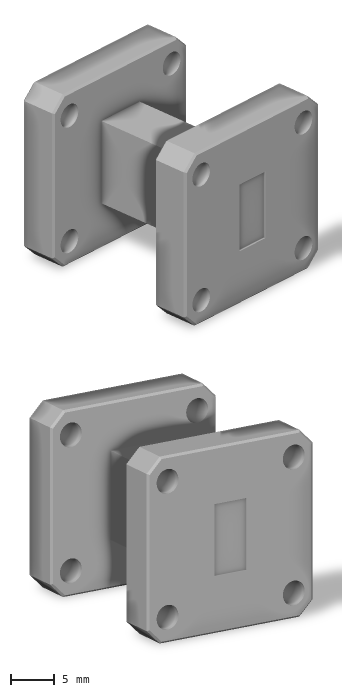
import cadquery as cq

overall_length = 25.4
flange_side = 22.35
flange_thickness = 4.83
corner_cut = 1.78
edge_chamfer = 0.25

body_width = 6.35
body_height = 10.67

hole_diameter = 2.95
hole_spacing_y = 17.02
hole_spacing_z = 16.25

recess_width = 4.32
recess_height = 8.64
recess_depth = 0.25


def make_flange(center_x):
    """Square plate with clipped corners and chamfered face rims."""
    plate = cq.Workplane("XY").box(flange_thickness, flange_side, flange_side)
    plate = plate.edges("|X").chamfer(corner_cut)
    plate = plate.faces("<X or >X").edges().chamfer(edge_chamfer)
    return plate.translate((center_x, 0, 0))


def make_bolt_holes():
    """Four pins along X that cut the bolt holes through both flanges."""
    return (
        cq.Workplane("YZ")
        .rect(hole_spacing_y, hole_spacing_z, forConstruction=True)
        .vertices()
        .circle(hole_diameter / 2)
        .extrude(overall_length / 2, both=True)
    )


def make_recess(face_x):
    """Block centered on an outer face, reaching recess_depth into the part."""
    block = cq.Workplane("XY").box(2 * recess_depth, recess_width, recess_height)
    return block.translate((face_x, 0, 0))


body_length = overall_length - 2 * flange_thickness
result = cq.Workplane("XY").box(body_length, body_width, body_height)

for side in (-1, 1):
    result = result.union(make_flange(side * (overall_length - flange_thickness) / 2))

result = result.cut(make_bolt_holes())

for side in (-1, 1):
    result = result.cut(make_recess(side * overall_length / 2))